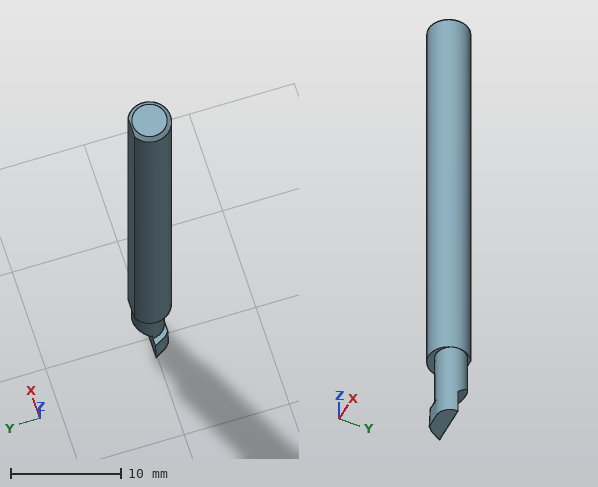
import cadquery as cq

total_length = 50.0
shank_radius = 2.0
flat_offset = 1.75
shank_bottom = 8.1
chamfer_radial = 0.4
chamfer_axial = 0.35

neck_radius = 1.5
neck_center_x = shank_radius - neck_radius

relief_bottom = 2.6
relief_top = 4.05

head_height = 2.25
side_lean = 0.1
tip_x = -shank_radius
heel_x = -1.45
heel_y = -1.05
shoulder_x = -1.0
end_rise_x = 0.03
end_rise_y = 0.1
margin = 0.5


def make_shank():
    """Chamfered round bar with one lengthwise flat."""
    length = total_length - shank_bottom
    bar = cq.Workplane("XY").workplane(offset=shank_bottom).circle(shank_radius).extrude(length)
    bar = bar.faces(">Z").chamfer(chamfer_axial, chamfer_radial)
    keep = (
        cq.Workplane("XY")
        .box(2 * shank_radius, shank_radius + flat_offset, total_length, centered=(True, False, False))
        .translate((0, -shank_radius, 0))
    )
    return bar.intersect(keep)


def make_neck():
    """Offset round neck, cut back to the rake plane by a sloping run-out."""
    neck = cq.Workplane("XY").center(neck_center_x, 0).circle(neck_radius).extrude(shank_bottom)
    slope = (relief_top - relief_bottom) / neck_radius
    outer_y = neck_radius + margin
    relief = (
        cq.Workplane("YZ")
        .polyline([
            (0, -margin),
            (outer_y, -margin),
            (outer_y, relief_bottom + slope * outer_y),
            (0, relief_bottom),
        ])
        .close()
        .extrude(shank_radius + margin, both=True)
    )
    return neck.cut(relief)


def head_section(height):
    """Corners of the head at a given height; its cutting side leans with height."""
    lean = side_lean * height
    return [
        (tip_x + lean, 0),
        (heel_x + lean, heel_y),
        (shoulder_x + lean, -neck_radius),
        (neck_center_x, -neck_radius),
        (neck_center_x, 0),
    ]


def make_head():
    """Leaning cutting head with a flat back tangent to the neck."""
    return (
        cq.Workplane("XY")
        .polyline(head_section(0)).close()
        .workplane(offset=head_height)
        .polyline(head_section(head_height)).close()
        .loft(ruled=True)
    )


def make_end_clearance():
    """Body below the sloping end face, which passes through the cutting tip."""
    normal = (-end_rise_x, end_rise_y, 1)
    end_plane = cq.Plane(origin=(0, 0, -end_rise_x * tip_x), xDir=(1, 0, end_rise_x), normal=normal)
    size = 4 * shank_radius + 2 * margin
    return cq.Workplane(end_plane).rect(size, size).extrude(-shank_radius)


result = make_shank().union(make_neck()).union(make_head()).cut(make_end_clearance())